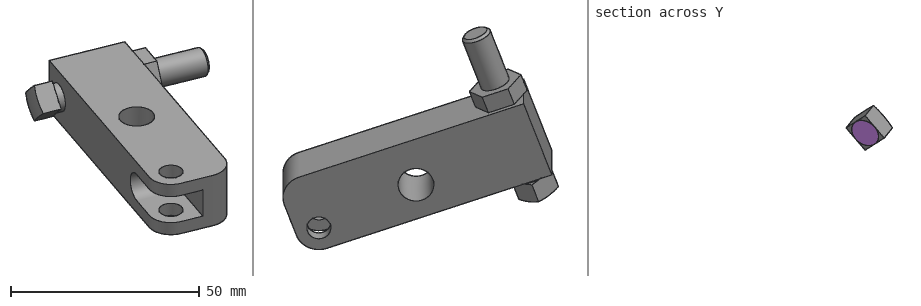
import cadquery as cq
import math

block_length = 69.85
block_width = 22.1
block_height = 15.9
corner_radius = 6.4

pivot_diameter = 9.5
pivot_x = block_length / 2
pivot_y = pivot_diameter
pin_diameter = 6.4
pin_x = block_length - corner_radius
pin_y = corner_radius

slot_height = 8.2
slot_length = 18.35
slot_depth = 2 * pin_y

bolt_x = 6.3
bolt_diameter = 7.9
bolt_projection = 20.3
bolt_chamfer = 0.7
neck_length = 2.0
head_side = 7.9
head_height = 6.0
head_dome_height = 0.8
nut_overhang = 1.0
nut_corner_diameter = 2 * (bolt_x + nut_overhang)
nut_thickness = 4.8


def along_y(start_y):
    """Sketch plane on the bolt axis, facing +Y."""
    return cq.Workplane(cq.Plane(origin=(bolt_x, start_y, 0), xDir=(1, 0, 0), normal=(0, 1, 0)))


def make_lever():
    lever = (
        cq.Workplane("XY")
        .box(block_length, block_width, block_height, centered=(False, False, True))
        .edges("|Z and >X")
        .fillet(corner_radius)
    )
    for x, y, diameter in ((pivot_x, pivot_y, pivot_diameter), (pin_x, pin_y, pin_diameter)):
        hole = (
            cq.Workplane("XY")
            .center(x, y)
            .circle(diameter / 2)
            .extrude(block_height, both=True)
        )
        lever = lever.cut(hole)
    slot = (
        cq.Workplane("XZ", origin=(block_length, 0, 0))
        .slot2D(2 * slot_length, slot_height)
        .extrude(-slot_depth)
    )
    return lever.cut(slot)


def make_head():
    """Square head set on its corner, with a spherical end face."""
    head_end = -neck_length - head_height
    corner_reach = head_side / math.sqrt(2)
    dome_radius = (corner_reach**2 + head_dome_height**2) / (2 * head_dome_height)
    head = (
        along_y(head_end)
        .transformed(rotate=(0, 0, 45))
        .rect(head_side, head_side)
        .extrude(head_height)
    )
    dome = cq.Workplane("XY").sphere(dome_radius).translate((bolt_x, head_end + dome_radius, 0))
    return head.intersect(dome)


def make_bolt():
    shank_length = neck_length + block_width + bolt_projection
    shank = (
        along_y(-neck_length)
        .circle(bolt_diameter / 2)
        .extrude(shank_length)
        .faces(">Y")
        .chamfer(bolt_chamfer)
    )
    nut = along_y(block_width).polygon(6, nut_corner_diameter).extrude(nut_thickness)
    return shank.union(make_head()).union(nut)


result = make_lever().union(make_bolt())